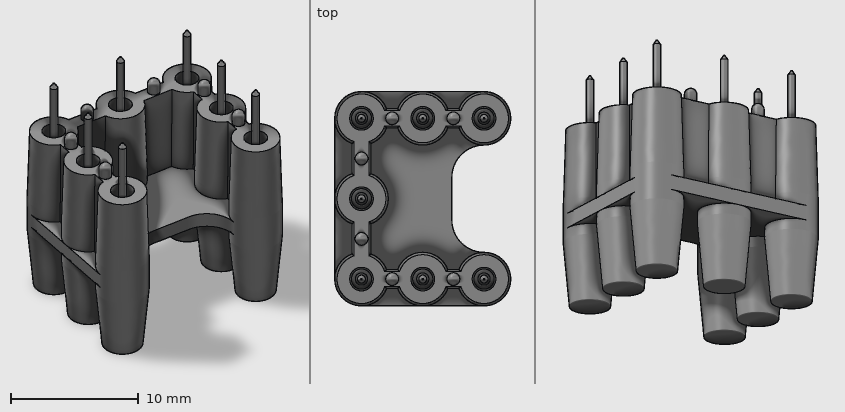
import cadquery as cq

OVERALL_X = 13.8
OVERALL_Y = 16.8
COLLAR_RADIUS = 2.1

PITCH_X = OVERALL_X / 2 - COLLAR_RADIUS
PITCH_Y = OVERALL_Y / 2 - COLLAR_RADIUS
COLUMN_X = [-PITCH_X, 0, PITCH_X]
ROW_Y = [-PITCH_Y, 0, PITCH_Y]

COLLAR_BOTTOM_Z = 5.3
PLATE_BOTTOM_Z = 6.2
PLATE_TOP_Z = 7.41
COLLAR_TOP_Z = 8.38
BARREL_TOP_Z = 14.7
PEG_TOP_Z = 15.9
PIN_SHOULDER_Z = 18.91
PIN_TOP_Z = 19.3

NOSE_RADIUS = 1.62
BARREL_TOP_RADIUS = 1.91
NOSE_FILLET = 0.08

BORE_RADIUS = 0.93
BORE_FLOOR_Z = PLATE_TOP_Z
PIN_RADIUS = 0.3
PIN_TIP_RADIUS = 0.05
PIN_BASE_RADIUS = 0.8
PIN_BASE_FILLET = 0.23
PIN_BASE_TOP_Z = COLLAR_TOP_Z
PIN_NECK_RADIUS = 0.48
PIN_NECK_HEIGHT = 0.39

CUTOUT_FILLET = 2.5
WALL_TOP_WIDTH = 1.2
WALL_BASE_WIDTH = 1.5
PEG_RADIUS = 0.5

socket_points = [(x, y) for x in COLUMN_X for y in (ROW_Y[0], ROW_Y[-1])]
socket_points.append((COLUMN_X[0], ROW_Y[1]))

links = []
for row_y in (ROW_Y[0], ROW_Y[-1]):
    for start_x, end_x in zip(COLUMN_X, COLUMN_X[1:]):
        links.append(((start_x, row_y), (end_x, row_y)))
for start_y, end_y in zip(ROW_Y, ROW_Y[1:]):
    links.append(((COLUMN_X[0], start_y), (COLUMN_X[0], end_y)))


def revolve_about_z(profile):
    """Revolve a closed profile of radius and height about the Z axis."""
    return profile.close().revolve(360, (0, 0, 0), (0, 1, 0))


def make_plate():
    """C-shaped plate whose corners end inside the corner collars, cut out on +X."""
    outer_x = OVERALL_X / 2
    outer_y = OVERALL_Y / 2
    cutout_y = PITCH_Y - COLLAR_RADIUS
    cutout_x = PITCH_X - CUTOUT_FILLET
    straight_y = cutout_y - CUTOUT_FILLET
    return (
        cq.Workplane("XY", origin=(0, 0, PLATE_BOTTOM_Z))
        .moveTo(-outer_x, -PITCH_Y)
        .lineTo(-PITCH_X, -outer_y)
        .lineTo(PITCH_X, -outer_y)
        .lineTo(PITCH_X, -cutout_y)
        .radiusArc((cutout_x, -straight_y), CUTOUT_FILLET)
        .lineTo(cutout_x, straight_y)
        .radiusArc((PITCH_X, cutout_y), CUTOUT_FILLET)
        .lineTo(PITCH_X, outer_y)
        .lineTo(-PITCH_X, outer_y)
        .lineTo(-outer_x, PITCH_Y)
        .close()
        .extrude(PLATE_TOP_Z - PLATE_BOTTOM_Z)
    )


def make_barrel():
    """Solid tapered barrel with a rounded lower rim."""
    profile = (
        cq.Workplane("XZ")
        .lineTo(NOSE_RADIUS, 0)
        .lineTo(COLLAR_RADIUS, COLLAR_BOTTOM_Z)
        .lineTo(COLLAR_RADIUS, COLLAR_TOP_Z)
        .lineTo(BARREL_TOP_RADIUS, BARREL_TOP_Z)
        .lineTo(0, BARREL_TOP_Z)
    )
    return revolve_about_z(profile).faces("<Z").edges().fillet(NOSE_FILLET)


def make_bore():
    """Cylinder removed from the top of a barrel."""
    depth = BARREL_TOP_Z - BORE_FLOOR_Z
    return cq.Workplane("XY", origin=(0, 0, BORE_FLOOR_Z)).circle(BORE_RADIUS).extrude(depth)


def make_pin():
    """Pointed pin on a round-shouldered neck and wider base, rooted in the barrel's solid core."""
    neck_top_z = PIN_BASE_TOP_Z + PIN_NECK_HEIGHT
    neck_fillet = PIN_NECK_RADIUS - PIN_RADIUS
    profile = (
        cq.Workplane("XZ")
        .moveTo(0, PLATE_BOTTOM_Z)
        .lineTo(PIN_BASE_RADIUS, PLATE_BOTTOM_Z)
        .lineTo(PIN_BASE_RADIUS, PIN_BASE_TOP_Z - PIN_BASE_FILLET)
        .radiusArc((PIN_BASE_RADIUS - PIN_BASE_FILLET, PIN_BASE_TOP_Z), -PIN_BASE_FILLET)
        .lineTo(PIN_NECK_RADIUS, PIN_BASE_TOP_Z)
        .lineTo(PIN_NECK_RADIUS, neck_top_z - neck_fillet)
        .radiusArc((PIN_RADIUS, neck_top_z), -neck_fillet)
        .lineTo(PIN_RADIUS, PIN_SHOULDER_Z)
        .lineTo(PIN_TIP_RADIUS, PIN_TOP_Z)
        .lineTo(0, PIN_TOP_Z)
    )
    return revolve_about_z(profile)


def make_wall(start, end):
    """Upright wall between two socket centres, thinner at the top."""
    along_x = start[1] == end[1]
    section_plane = "YZ" if along_x else "XZ"
    length = PITCH_X if along_x else PITCH_Y
    middle_x = (start[0] + end[0]) / 2
    middle_y = (start[1] + end[1]) / 2
    return (
        cq.Workplane(section_plane, origin=(middle_x, middle_y, 0))
        .polyline([
            (-WALL_BASE_WIDTH / 2, PLATE_TOP_Z),
            (WALL_BASE_WIDTH / 2, PLATE_TOP_Z),
            (WALL_TOP_WIDTH / 2, BARREL_TOP_Z),
            (-WALL_TOP_WIDTH / 2, BARREL_TOP_Z),
        ])
        .close()
        .extrude(length / 2, both=True)
    )


def make_peg(start, end):
    """Round-topped peg standing on the middle of a wall."""
    dome_base_z = PEG_TOP_Z - PEG_RADIUS
    profile = (
        cq.Workplane("XZ")
        .moveTo(0, BARREL_TOP_Z)
        .lineTo(PEG_RADIUS, BARREL_TOP_Z)
        .lineTo(PEG_RADIUS, dome_base_z)
        .radiusArc((0, PEG_TOP_Z), -PEG_RADIUS)
    )
    middle = ((start[0] + end[0]) / 2, (start[1] + end[1]) / 2, 0)
    return revolve_about_z(profile).translate(middle)


result = make_plate()
barrel = make_barrel()
for x, y in socket_points:
    result = result.union(barrel.translate((x, y, 0)))
for start, end in links:
    result = result.union(make_wall(start, end))
    result = result.union(make_peg(start, end))

bore = make_bore()
pin = make_pin()
for x, y in socket_points:
    result = result.cut(bore.translate((x, y, 0)))
    result = result.union(pin.translate((x, y, 0)))

result = result.clean()